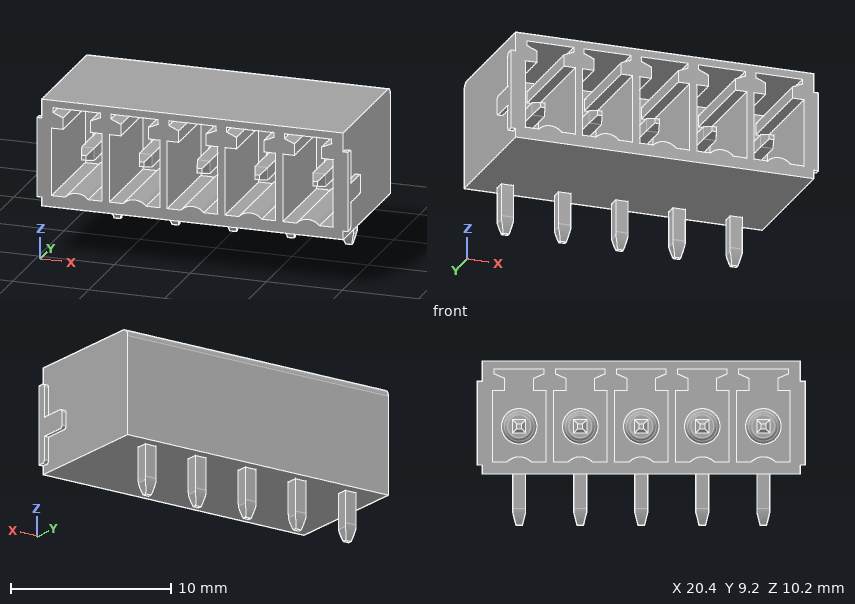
import cadquery as cq

overall_width = 20.45
overall_height = 10.25
contact_count = 5
pitch = 3.8

housing_depth = 9.2
housing_height = 7.05
back_edge_radius = 0.51

rail_thickness = 0.3
flange_depth = 0.6
flange_bottom = 0.57
flange_top = 5.8
flange_radius = 0.2
tongue_reach = 2.5
tongue_bottom = 2.3
tongue_top = 3.58
tongue_radius = 0.2

pocket_depth = 6.55
chamber_width = 3.31
chamber_bottom = 0.75
chamber_top = 5.21
neck_width = 1.8
neck_top = 5.97
slot_width = 3.1
slot_edge = 6.25
slot_top = 6.56
ridge_width = 1.51
ridge_height = 0.33

collar_radius = 1.1
collar_shoulder_radius = 0.92
collar_face_radius = 0.72
collar_taper_length = 0.61
collar_round = collar_shoulder_radius - collar_face_radius

pin_width = 0.82
pin_thickness = 0.78
pin_axis_z = 2.98
leg_axis_y = 8.01
leg_drop = overall_height - housing_height
leg_tip_width = 0.4
leg_tip_thickness = 0.27
leg_side_taper_length = 0.82
leg_face_taper_length = 1.06
arm_tip_y = 1.37
arm_tip_width = 0.3
arm_taper_length = 0.82

housing_width = overall_width - 2 * rail_thickness
contact_places = [(i - (contact_count - 1) / 2) * pitch for i in range(contact_count)]


def make_leg(length):
    """Straight leg from the origin down to Z = -length, tapered to a blunt tip."""
    half_width = pin_width / 2
    half_thickness = pin_thickness / 2
    wide_shape = (
        cq.Workplane("XZ")
        .moveTo(-half_width, 0)
        .lineTo(-half_width, leg_side_taper_length - length)
        .lineTo(-leg_tip_width / 2, -length)
        .lineTo(leg_tip_width / 2, -length)
        .lineTo(half_width, leg_side_taper_length - length)
        .lineTo(half_width, 0)
        .close()
        .extrude(half_thickness, both=True)
    )
    thin_half = (
        cq.Workplane("YZ")
        .moveTo(0, 0)
        .lineTo(half_thickness, 0)
        .lineTo(half_thickness, leg_face_taper_length - length)
        .tangentArcPoint((leg_tip_thickness / 2, -length), relative=False)
        .lineTo(0, -length)
        .close()
        .extrude(half_width, both=True)
    )
    thin_shape = thin_half.union(thin_half.mirror("XZ"))
    return wide_shape.intersect(thin_shape)


def make_arm(length):
    """Square arm from the origin to Y = -length, ending in a cut-off pyramid."""
    bar_length = length - arm_taper_length
    bar = cq.Workplane("XZ").rect(pin_width, pin_width).extrude(bar_length)
    point = (
        cq.Workplane("XZ", origin=(0, -bar_length, 0))
        .rect(pin_width, pin_width)
        .workplane(offset=arm_taper_length)
        .rect(arm_tip_width, arm_tip_width)
        .loft()
    )
    return bar.union(point)


def make_pin(x):
    """Right-angle pin: a leg pointing down and a contact arm pointing forward."""
    bend_top = pin_axis_z + pin_width / 2
    bend_back = leg_axis_y + pin_thickness / 2
    leg = make_leg(bend_top + leg_drop).translate((x, leg_axis_y, bend_top))
    arm = make_arm(bend_back - arm_tip_y).translate((x, bend_back, pin_axis_z))
    return leg.union(arm)


def make_block():
    """Plain housing block with its top rear edge rounded."""
    block = cq.Workplane("XY").box(
        housing_width, housing_depth, housing_height, centered=(True, False, False)
    )
    return block.edges(">Y and >Z").fillet(back_edge_radius)


def make_rails():
    """Flange and tongue on both ends, as one bar running through the block."""
    flange = (
        cq.Workplane("XY")
        .box(overall_width, flange_depth, flange_top - flange_bottom, centered=(True, False, False))
        .edges("|X and >Y")
        .fillet(flange_radius)
        .translate((0, 0, flange_bottom))
    )
    tongue = (
        cq.Workplane("XY")
        .box(overall_width, tongue_reach, tongue_top - tongue_bottom, centered=(True, False, False))
        .edges("|X and >Y")
        .fillet(tongue_radius)
        .translate((0, 0, tongue_bottom))
    )
    return flange.union(tongue)


def make_pocket(x):
    """Pocket with a dovetail keyway above and a rounded ridge along its floor."""
    return (
        cq.Workplane("XZ")
        .moveTo(-chamber_width / 2, chamber_bottom)
        .lineTo(-ridge_width / 2, chamber_bottom)
        .threePointArc((0, chamber_bottom + ridge_height), (ridge_width / 2, chamber_bottom))
        .lineTo(chamber_width / 2, chamber_bottom)
        .lineTo(chamber_width / 2, chamber_top)
        .lineTo(neck_width / 2, chamber_top)
        .lineTo(neck_width / 2, neck_top)
        .lineTo(slot_width / 2, slot_edge)
        .lineTo(slot_width / 2, slot_top)
        .lineTo(-slot_width / 2, slot_top)
        .lineTo(-slot_width / 2, slot_edge)
        .lineTo(-neck_width / 2, neck_top)
        .lineTo(-neck_width / 2, chamber_top)
        .lineTo(-chamber_width / 2, chamber_top)
        .close()
        .extrude(-pocket_depth)
        .translate((x, 0, 0))
    )


def make_collar(x):
    """Tapered collar with a rounded front edge, turned about the contact arm's axis."""
    collar = (
        cq.Workplane("XY")
        .moveTo(0, 0)
        .lineTo(collar_radius, 0)
        .lineTo(collar_shoulder_radius, -collar_taper_length)
        .radiusArc((collar_face_radius, -collar_taper_length - collar_round), collar_round)
        .lineTo(0, -collar_taper_length - collar_round)
        .close()
        .revolve(360, (0, 0, 0), (0, 1, 0))
    )
    return collar.translate((x, pocket_depth, pin_axis_z))


def make_housing(pins):
    """Housing with a pocket and collar at each place, fitted around the pins."""
    housing = make_block().union(make_rails())
    for x in contact_places:
        housing = housing.cut(make_pocket(x)).union(make_collar(x))
    for pin in pins:
        housing = housing.cut(pin)
    return housing


pins = [make_pin(x) for x in contact_places]
housing = make_housing(pins)

result = cq.Compound.makeCompound([housing.val(), *[pin.val() for pin in pins]])